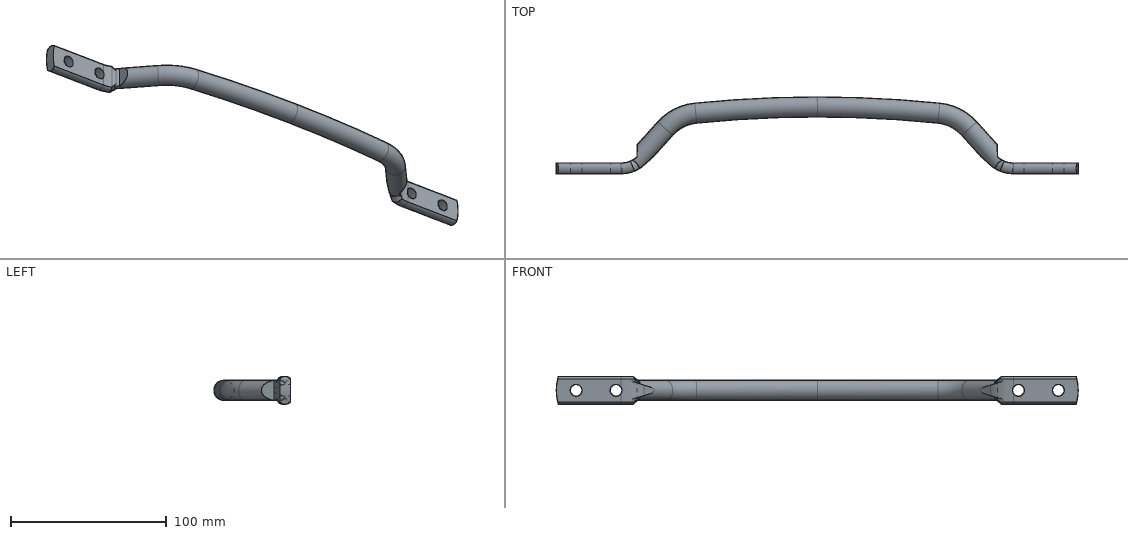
import cadquery as cq
import math

length = 335.0
height = 49.4

bar_diameter = 13.0
grip_radius = 770.0
grip_half_span = 78.0
corner_radius = 30.5
leg_angle = 48.0

foot_thickness = 7.0
foot_width = 17.96
foot_side_bulge = 1.6
foot_end_radius = 30.0
hole_diameter = 7.4
hole_from_end = 12.8
hole_spacing = 25.6

bend_start_from_end = 41.7
bend_radius = 22.0
bend_angle = 42.0
shoulder_start_angle = 23.0
shoulder_end_angle = 33.0

shoulder_top_from_end = 52.0
shoulder_top_height = 18.5
outer_flat_length = 20.0

bar_radius = bar_diameter / 2
end_x = -length / 2
bend_center = (end_x + bend_start_from_end, bend_radius)
bend_inner_radius = bend_radius - foot_thickness


def polar(center, radius, angle):
    """Point at an angle in degrees, counterclockwise from +X, around a center in XY."""
    turn = math.radians(angle)
    return (center[0] + radius * math.cos(turn), center[1] + radius * math.sin(turn))


def bend_point(radius, angle):
    """Point on the foot bend, reached after turning by an angle from the foot direction."""
    return polar(bend_center, radius, angle - 90)


def half_bar():
    """Round bar from the middle of the grip to below the foot bend, on the -X side."""
    grip_top = (0, height - bar_radius)
    grip_center = (0, grip_top[1] - grip_radius)
    joint_angle = math.degrees(math.asin(grip_half_span / grip_radius))
    grip_mid = polar(grip_center, grip_radius, 90 + joint_angle / 2)
    grip_end = polar(grip_center, grip_radius, 90 + joint_angle)

    corner_center = polar(grip_end, -corner_radius, 90 + joint_angle)
    corner_mid = polar(corner_center, corner_radius, 90 + (joint_angle + leg_angle) / 2)
    corner_end = polar(corner_center, corner_radius, 90 + leg_angle)

    leg_length = corner_end[1] / math.sin(math.radians(leg_angle))
    leg_end = polar(corner_end, -leg_length, leg_angle)

    path = (
        cq.Workplane("XY")
        .moveTo(*grip_top)
        .threePointArc(grip_mid, grip_end)
        .threePointArc(corner_mid, corner_end)
        .lineTo(*leg_end)
    )
    return cq.Workplane("YZ", origin=(0, grip_top[1], 0)).circle(bar_radius).sweep(path)


def bar_envelope():
    """Side outline that forges the lower end of the leg down to the foot thickness."""
    clear_height = 2 * height
    outer_end = bend_point(bend_radius, bend_angle)
    outer_tip = polar(outer_end, outer_flat_length, bend_angle)
    shoulder_top = (end_x + shoulder_top_from_end, shoulder_top_height)
    return (
        cq.Workplane("XY")
        .moveTo(*bend_point(bend_inner_radius, shoulder_start_angle))
        .lineTo(*bend_point(bend_radius, shoulder_start_angle))
        .threePointArc(bend_point(bend_radius, (shoulder_start_angle + bend_angle) / 2), outer_end)
        .lineTo(*outer_tip)
        .lineTo(0, outer_tip[1])
        .lineTo(0, clear_height)
        .lineTo(shoulder_top[0], clear_height)
        .lineTo(*shoulder_top)
        .lineTo(*bend_point(bend_inner_radius, bend_angle))
        .threePointArc(
            bend_point(bend_inner_radius, (shoulder_start_angle + bend_angle) / 2),
            bend_point(bend_inner_radius, shoulder_start_angle),
        )
        .close()
        .extrude(foot_width, both=True)
    )


def flat_section(angle, width):
    """Flattened bar section with bulged sides, after turning by an angle around the bend."""
    origin = bend_point(bend_radius - foot_thickness / 2, angle)
    turn = math.radians(angle)
    plane = cq.Plane(
        origin=(origin[0], origin[1], 0),
        xDir=(-math.sin(turn), math.cos(turn), 0),
        normal=(math.cos(turn), math.sin(turn), 0),
    )
    half_flat = width / 2 - foot_side_bulge
    half_thickness = foot_thickness / 2
    return (
        cq.Workplane(plane)
        .moveTo(-half_thickness, -half_flat)
        .threePointArc((0, -width / 2), (half_thickness, -half_flat))
        .lineTo(half_thickness, half_flat)
        .threePointArc((0, width / 2), (-half_thickness, half_flat))
        .close()
    )


def foot():
    """Straight undrilled foot with a gently rounded end."""
    half_width = foot_width / 2
    corner_x = end_x + foot_end_radius - math.sqrt(foot_end_radius**2 - half_width**2)
    plan = (
        cq.Workplane("XZ")
        .moveTo(bend_center[0], -half_width)
        .lineTo(corner_x, -half_width)
        .threePointArc((end_x, 0), (corner_x, half_width))
        .lineTo(bend_center[0], half_width)
        .close()
        .extrude(-foot_thickness)
    )
    return flat_section(0, foot_width).extrude(-bend_start_from_end).intersect(plan)


def foot_bend():
    """Full-width start of the bend."""
    axis_offset = bend_radius - foot_thickness / 2
    section = flat_section(0, foot_width)
    return section.revolve(shoulder_start_angle, (axis_offset, -1, 0), (axis_offset, 1, 0))


def shoulder():
    """Taper from the foot width to the bar diameter."""
    wide = flat_section(shoulder_start_angle, foot_width).wire().val()
    narrow = flat_section(shoulder_end_angle, bar_diameter).wire().val()
    return cq.Workplane(cq.Solid.makeLoft([wide, narrow], True))


def mounting_holes():
    """Two through holes along the foot."""
    first_x = end_x + hole_from_end
    return (
        cq.Workplane("XZ")
        .pushPoints([(first_x, 0), (first_x + hole_spacing, 0)])
        .circle(hole_diameter / 2)
        .extrude(-2 * foot_thickness)
    )


forged_bar = half_bar().intersect(bar_envelope())
half = forged_bar.union(foot()).union(foot_bend()).union(shoulder()).cut(mounting_holes())
result = half.union(half.mirror("YZ"))